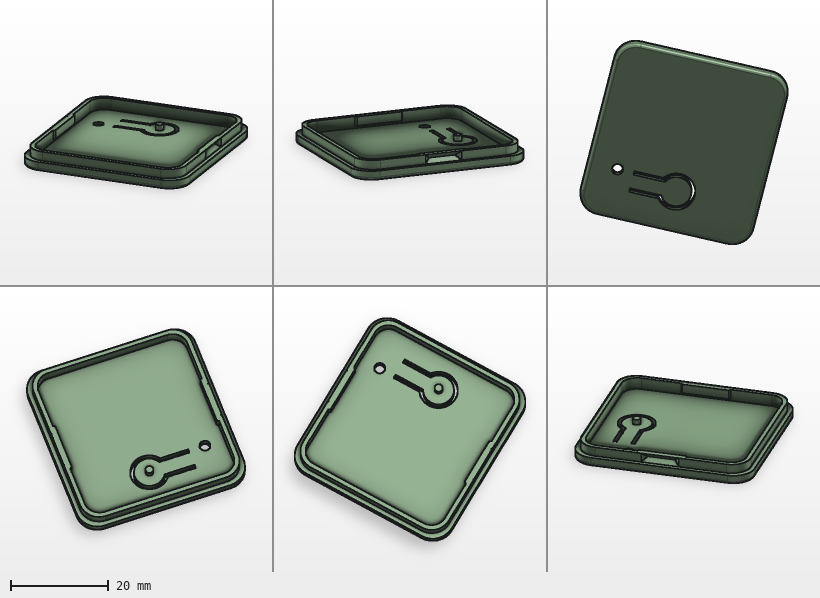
import cadquery as cq

length_x = 36.4
length_y = 38.1
total_height = 4.0
plate_height = 2.02
plate_corner_radius = 4.5
bottom_fillet = 0.72

rim_inset = 1.0
rim_thickness = 1.0
rim_corner_radius = 4.08
pocket_corner_radius = 3.25
floor_height = 1.5

pad_thickness = 0.42
pad_half_length = 5.3
pad_bevel = 0.3

notch_length = 8.08
notch_depth = 1.0
notch_end_slope = 1.15
notch_center_y = 0.1
notch_root_height = 1.0

button_x = 0.85
button_y = 10.33
button_radius = 3.15
tongue_width = 3.05
slot_width = 0.75
tongue_root_x = -8.45
pin_diameter = 1.65
pin_height = 1.2

hole_x = -11.95
hole_y = 8.42
hole_diameter = 2.25

rim_x = length_x - 2 * rim_inset
rim_y = length_y - 2 * rim_inset
pocket_x = rim_x - 2 * rim_thickness
pocket_y = rim_y - 2 * rim_thickness


def rounded_block(size_x, size_y, corner_radius, bottom, top):
    block = cq.Workplane("XY").workplane(offset=bottom).rect(size_x, size_y).extrude(top - bottom)
    return block.edges("|Z").fillet(corner_radius)


def wall_pad():
    """Bevelled pad on the inside of the -X rim wall, rooted in that wall."""
    root_x = -pocket_x / 2 - rim_thickness / 4
    wall_x = -pocket_x / 2
    face_x = wall_x + pad_thickness
    face_half_length = pad_half_length - pad_bevel
    outline = [
        (root_x, -pad_half_length),
        (wall_x, -pad_half_length),
        (face_x, -face_half_length),
        (face_x, face_half_length),
        (wall_x, pad_half_length),
        (root_x, pad_half_length),
    ]
    pad = cq.Workplane("XY").workplane(offset=plate_height).polyline(outline).close()
    return pad.extrude(total_height - plate_height)


def wall_notch():
    """Wedge in the -X rim wall: a rectangular mouth narrowing to a line at the root."""
    mouth_x = -rim_x / 2
    root_x = mouth_x + notch_depth
    root_z = plate_height + notch_root_height
    half_mouth = notch_length / 2
    half_root = half_mouth - notch_end_slope
    mouth = [
        (mouth_x, notch_center_y - half_mouth, plate_height),
        (mouth_x, notch_center_y + half_mouth, plate_height),
        (mouth_x, notch_center_y + half_mouth, total_height),
        (mouth_x, notch_center_y - half_mouth, total_height),
    ]
    root_start = (root_x, notch_center_y - half_root, root_z)
    root_end = (root_x, notch_center_y + half_root, root_z)
    outlines = [
        mouth,
        [mouth[0], mouth[1], root_end, root_start],
        [mouth[3], mouth[2], root_end, root_start],
        [mouth[0], mouth[3], root_start],
        [mouth[1], mouth[2], root_end],
    ]
    faces = [cq.Face.makeFromWires(cq.Wire.makePolygon(o, close=True)) for o in outlines]
    return cq.Workplane(cq.Solid.makeSolid(cq.Shell.makeShell(faces)))


def keyhole(radius, width):
    """Disc with a straight tongue running to -X, through the floor."""
    tongue_length = button_x - tongue_root_x
    disc = cq.Workplane("XY").center(button_x, button_y).circle(radius).extrude(floor_height)
    tongue = (
        cq.Workplane("XY")
        .center(button_x - tongue_length / 2, button_y)
        .rect(tongue_length, width)
        .extrude(floor_height)
    )
    return disc.union(tongue)


plate = rounded_block(length_x, length_y, plate_corner_radius, 0, plate_height)
plate = plate.faces("<Z").edges().fillet(bottom_fillet)
rim = rounded_block(rim_x, rim_y, rim_corner_radius, floor_height, total_height)
pocket = rounded_block(pocket_x, pocket_y, pocket_corner_radius, floor_height, total_height)
tray = plate.union(rim).cut(pocket)

for pad, notch in [
    (wall_pad(), wall_notch()),
    (wall_pad().mirror("YZ"), wall_notch().mirror("YZ")),
]:
    tray = tray.union(pad).cut(notch)

slot = keyhole(button_radius + slot_width, tongue_width + 2 * slot_width).cut(
    keyhole(button_radius, tongue_width)
)
pin = (
    cq.Workplane("XY")
    .workplane(offset=floor_height)
    .center(button_x, button_y)
    .circle(pin_diameter / 2)
    .extrude(pin_height)
)
hole = cq.Workplane("XY").center(hole_x, hole_y).circle(hole_diameter / 2).extrude(floor_height)

result = tray.cut(slot).cut(hole).union(pin)